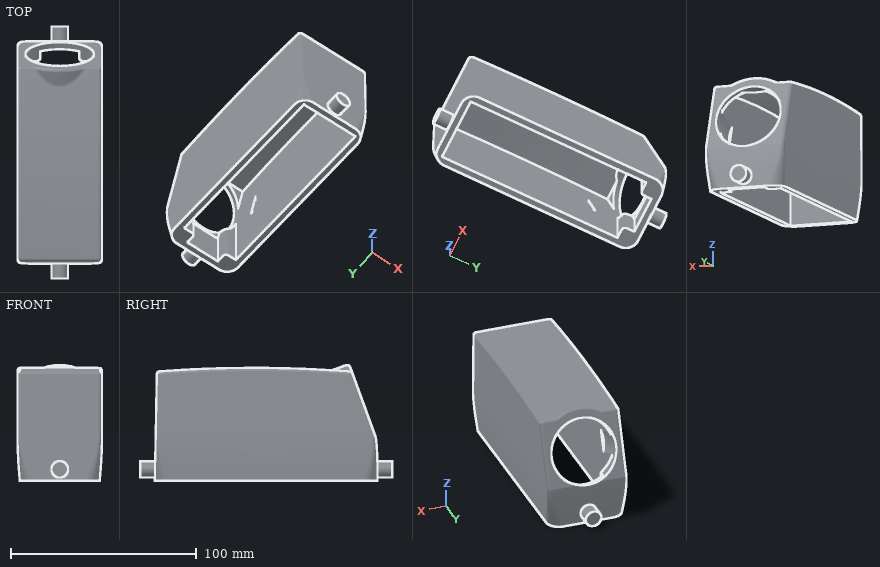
import cadquery as cq
import math

pin_span = 136.0
body_width = 45.5
body_half_width = body_width / 2
hood_top = 62.5

seam_height = 23.3
crown_height = 61.0
crown_end_height = 59.0
crown_middle_y = -6.8
rear_foot_y = -60.1
rear_top_y = -59.0
slope_angle = 20.0
slope_foot_y = 59.2
seam_corner_radius = 2.0
top_corner_radius = 2.0
top_edge_radius = 1.9

skirt_levels = [
    (0.0, 43.2, 60.0, 7.3),
    (7.1, 44.3, 60.0, 5.2),
    (15.0, 45.3, 59.8, 3.1),
    (seam_height, body_width, slope_foot_y, seam_corner_radius),
]

wall = 4.1
post_gap = 20.8
post_inner_y = 49.2
post_corner_radius = 2.0

opening_diameter = 37.0
opening_center_y = 53.0
opening_depth = 20.4
lip_radius = 24.5
lip_half_width = 16.3
lip_length = 27.2
lip_root_drop = 8.2
lip_root_radius = 2.5

pin_diameter = 9.0
pin_height = 6.3
pin_root_depth = 2.0

slope_radians = math.radians(slope_angle)
slope_tan = math.tan(slope_radians)
opening_height = seam_height + (slope_foot_y - opening_center_y) / slope_tan
slope_plane = cq.Plane(
    origin=(0, opening_center_y, opening_height),
    xDir=(-1, 0, 0),
    normal=(0, math.cos(slope_radians), math.sin(slope_radians)),
)


def slope_y(height):
    """Y of the sloped front face at a given height."""
    return slope_foot_y - (height - seam_height) * slope_tan


def rear_y(height):
    """Y of the slightly leaning flat rear face at a given height."""
    return rear_foot_y + (rear_top_y - rear_foot_y) * height / crown_end_height


def section(height, width, rear, front, radius):
    """Rounded rectangle lying at a given height."""
    return (
        cq.Sketch()
        .push([(0, (rear + front) / 2)])
        .rect(width, front - rear)
        .reset()
        .vertices()
        .fillet(radius)
        .moved(cq.Location(cq.Vector(0, 0, height)))
    )


def loft(sections):
    """Solid through a stack of sections."""
    return cq.Workplane("XY").placeSketch(*sections).loft()


def below_crown(drop):
    """Everything under the arched top, with the arch lowered by a drop."""
    half_length = rear_top_y - crown_middle_y
    rise = crown_height - crown_end_height
    radius = (half_length**2 + rise**2) / (2 * rise)
    arch = (
        cq.Workplane("YZ")
        .center(crown_middle_y, crown_height - drop - radius)
        .circle(radius)
        .extrude(body_half_width, both=True)
    )
    space = cq.Workplane("XY").box(body_width, pin_span, hood_top, centered=(True, True, False))
    return space.intersect(arch)


def lip():
    """Top segment of a cylinder square to the slope."""
    segment = (
        cq.Workplane("XY")
        .workplane(offset=hood_top - lip_root_drop)
        .rect(2 * lip_half_width, pin_span)
        .extrude(lip_root_drop + wall)
    )
    return cq.Workplane(slope_plane).circle(lip_radius).extrude(-lip_length).intersect(segment)


def edges_between(low, high):
    """Edges whose centers lie in a box between two corners."""
    return cq.selectors.BoxSelector(low, high)


def outer_body():
    """Skirt and upper hood with the lip blended into the crown and the top edges rounded."""
    skirt = loft(
        [section(z, width, rear_y(z), front, radius) for z, width, front, radius in skirt_levels]
    )
    seam = section(seam_height, body_width, rear_y(seam_height), slope_foot_y, seam_corner_radius)
    top = section(hood_top, body_width, rear_y(hood_top), slope_y(hood_top), top_corner_radius)
    upper = loft([seam, top]).intersect(below_crown(0)).union(lip())

    top_low = crown_end_height - 2 * top_edge_radius
    lip_back = slope_y(crown_end_height) - lip_length
    lip_front = slope_y(hood_top) - top_edge_radius / 2
    around_root = edges_between(
        (-lip_half_width, lip_back, top_low), (lip_half_width, lip_front, hood_top)
    )
    whole_top = edges_between(
        (-pin_span, -pin_span, top_low), (pin_span, pin_span, hood_top + lip_root_drop)
    )
    upper = upper.edges(around_root).fillet(lip_root_radius)
    upper = upper.edges(whole_top - around_root).fillet(top_edge_radius)
    return skirt.union(upper)


def cavity():
    """Hollow open at the bottom, with a post left standing in each front corner."""
    half_width = skirt_levels[0][1] / 2 - wall
    front_y = skirt_levels[0][2] - wall
    slope_wall = wall / math.cos(slope_radians)
    bend_height = seam_height + (slope_foot_y - slope_wall - front_y) / slope_tan
    outline = [
        (rear_y(0) + wall, 0),
        (front_y, 0),
        (front_y, bend_height),
        (slope_y(hood_top) - slope_wall, hood_top),
        (rear_y(hood_top) + wall, hood_top),
    ]
    hollow = cq.Workplane("YZ").polyline(outline).close().extrude(half_width, both=True)
    hollow = hollow.intersect(below_crown(wall))
    for side in (-1, 1):
        post = (
            cq.Workplane("XY")
            .center(side * (post_gap + body_half_width) / 2, post_inner_y + body_half_width / 2)
            .rect(body_half_width, body_half_width)
            .extrude(hood_top)
            .edges("|Z and <Y")
            .edges(">X" if side < 0 else "<X")
            .fillet(post_corner_radius)
        )
        hollow = hollow.cut(post)
    return hollow


def cable_opening():
    """Round bore square to the slope, reaching past the corner posts."""
    return (
        cq.Workplane(slope_plane)
        .workplane(offset=wall)
        .circle(opening_diameter / 2)
        .extrude(-opening_depth - wall)
    )


def pins():
    """Round pins standing out of both end walls along one axis."""
    rod = (
        cq.Workplane("XZ")
        .center(0, pin_height)
        .circle(pin_diameter / 2)
        .extrude(pin_span / 2, both=True)
    )
    gap = cq.Workplane("XY").box(2 * pin_diameter, 2 * (abs(rear_foot_y) - pin_root_depth), hood_top)
    return rod.cut(gap)


result = outer_body().cut(cavity()).cut(cable_opening()).union(pins())